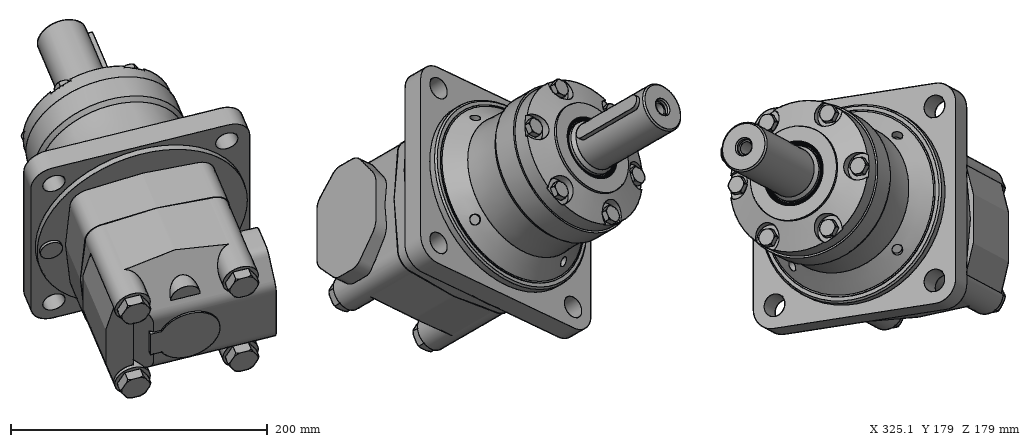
import cadquery as cq
import math


cover_face_x = 81.5
cover_cone_x = 83.5
cover_rim_x = 90.6
collar_x = 103.9
collar_chamfer_x = 124.6
neck_x = 128.4
flare_x = 160.0
pilot_x = 174.7
flange_x = 181.7
flange_back_x = 199.9
housing_back_x = 204.7
gear_back_x = 242.0
boss_back_x = 316.7
cover_back_x = 321.2
bolt_end_x = 325.1

shaft_dia = 40.0
shaft_shoulder_dia = 45.0
shaft_tip_chamfer = 1.3
shaft_neck_x = 78.4
shaft_end_x = 110.0
centre_mouth_dia = 14.8
centre_mouth_depth = 1.5
centre_bore_dia = 13.0
centre_bore_depth = 4.0
thread_hole_dia = 10.2
thread_hole_depth = 25.0
key_length = 70.0
key_width = 12.0
key_height = 8.0
key_top_y = 23.0
key_start_x = 5.0

cover_face_dia = 76.0
cover_rim_dia = 122.0
collar_dia = 125.2
neck_dia = 119.6
neck_waist_dia = 118.2
flare_top_dia = 148.0
pilot_dia = 160.0
pilot_chamfer = 1.5
flare_collar_dia = 150.6
flare_collar_width = 0.6
back_disc_dia = 172.0
seal_recess_dia = 52.0
seal_step_count = 4
seal_step_width = 0.8
seal_step_depth = 0.6
flange_side = 179.01
flange_corner_radius = 18.0
mount_hole_circle_dia = 200.0
mount_hole_dia = 18.2
flare_hole_dia = 8.38
flare_hole_circle_dia = 131.5
flare_hole_depth = 6.0
drain_plug_dia = 18.2
drain_plug_height = 2.4
drain_plug_y = -75.0

screw_count = 6
screw_circle_dia = 107.6
screw_flats = 13.0
screw_head_chamfer = 0.8
screw_head_x = 87.2
spotface_dia = 22.4
spotface_x = 92.3

bolt_offset = 44.2
bolt_flats = 22.0
bolt_dia = 14.0
bolt_head_chamfer = 1.2
bolt_start_x = 190.0

apex_offset = 62.6
apex_flat = 1.0
gear_apex_offset = 62.8
gear_corner_radius = 15.0
boss_radius = 14.5
boss_edge = 42.6
bevel_x = 287.2
bevel_edge_radius = 14.0
raised_disc_dia = 51.0
raised_back_x = 322.6
tab_x = 319.1
tab_width = 24.5
tab_y = -31.5
top_boss_dia = 24.12
top_boss_z = 36.3
pad_start_x = 255.8
pad_end_x = 313.9
pad_y = -65.2
pad_flat = 20.0
pad_edge = 44.5
pad_edge_y = -58.7
port_face_y = 72.0
port_start_x = 252.7
port_half_height = 50.5
port_slope_x = 274.9
port_slope_angle = 51.0
port_crest_radius = 12.0
port_nose_radius = 19.0


def cylinder_x(dia, start_x, end_x, y=0.0, z=0.0):
    """Cylinder along X between two stations."""
    return cq.Workplane("YZ", origin=(start_x, y, z)).circle(dia / 2).extrude(end_x - start_x)


def hexagon_head(flats, start_x, end_x, chamfer, chamfer_face, y, z):
    """Hexagon head along X with corners toward +Y and -Y, its outer end turned down."""
    corners = flats / math.cos(math.pi / 6)
    head = cq.Workplane("YZ", origin=(start_x, y, z)).polygon(6, corners).extrude(end_x - start_x)
    turned = cylinder_x(corners, start_x, end_x, y, z).faces(chamfer_face).chamfer(chamfer)
    return head.intersect(turned)


def corner_points(offset):
    """Four points (y, z) at the corners of a square centred on the axis."""
    return [(y, z) for y in (-offset, offset) for z in (-offset, offset)]


def ring_points(count, dia):
    """Points (y, z) evenly spaced on a circle about the axis, the first at +Y."""
    angles = [2 * math.pi * i / count for i in range(count)]
    return [(dia / 2 * math.cos(a), dia / 2 * math.sin(a)) for a in angles]


def quarter_turned(points, quarters):
    """Points (y, z) turned about the axis by a number of quarter turns."""
    for _ in range(quarters):
        points = [(-z, y) for y, z in points]
    return points


def make_shaft():
    """Shaft with a keyed end, a shoulder inside the housing and a threaded centre hole."""
    radius = shaft_dia / 2
    shoulder_radius = shaft_shoulder_dia / 2
    shaft = (
        cq.Workplane("XY")
        .moveTo(0, 0)
        .lineTo(0, radius - shaft_tip_chamfer)
        .lineTo(shaft_tip_chamfer, radius)
        .lineTo(shaft_neck_x, radius)
        .lineTo(cover_face_x, shoulder_radius)
        .lineTo(shaft_end_x, shoulder_radius)
        .lineTo(shaft_end_x, 0)
        .close()
        .revolve(360, (0, 0, 0), (1, 0, 0))
    )
    key = (
        cq.Workplane("XZ", origin=(key_start_x + key_length / 2, key_top_y, 0))
        .slot2D(key_length, key_width)
        .extrude(key_height)
    )
    hole_tip = thread_hole_dia / 2 * math.tan(math.radians(30))
    centre_hole = (
        cq.Workplane("XY")
        .moveTo(0, 0)
        .lineTo(0, centre_mouth_dia / 2)
        .lineTo(centre_mouth_depth, centre_bore_dia / 2)
        .lineTo(centre_bore_depth, centre_bore_dia / 2)
        .lineTo(centre_bore_depth, thread_hole_dia / 2)
        .lineTo(thread_hole_depth, thread_hole_dia / 2)
        .lineTo(thread_hole_depth + hole_tip, 0)
        .close()
        .revolve(360, (0, 0, 0), (1, 0, 0))
    )
    return shaft.union(key).cut(centre_hole)


def make_housing_body():
    """Turned housing: front cover, waisted neck, flare, pilot and back disc."""
    return (
        cq.Workplane("XY")
        .moveTo(cover_face_x, 0)
        .lineTo(cover_face_x, cover_face_dia / 2)
        .lineTo(cover_cone_x, cover_face_dia / 2)
        .lineTo(cover_rim_x, cover_rim_dia / 2)
        .lineTo(collar_x, cover_rim_dia / 2)
        .lineTo(collar_x, collar_dia / 2)
        .lineTo(collar_chamfer_x, collar_dia / 2)
        .lineTo(neck_x, neck_dia / 2)
        .threePointArc(((neck_x + flare_x) / 2, neck_waist_dia / 2), (flare_x, neck_dia / 2))
        .lineTo(pilot_x - flare_collar_width, flare_top_dia / 2)
        .lineTo(pilot_x - flare_collar_width, flare_collar_dia / 2)
        .lineTo(pilot_x, flare_collar_dia / 2)
        .lineTo(pilot_x, pilot_dia / 2 - pilot_chamfer)
        .lineTo(pilot_x + pilot_chamfer, pilot_dia / 2)
        .lineTo(flange_x, pilot_dia / 2)
        .lineTo(flange_x, back_disc_dia / 2)
        .lineTo(housing_back_x, back_disc_dia / 2)
        .lineTo(housing_back_x, 0)
        .close()
        .revolve(360, (0, 0, 0), (1, 0, 0))
    )


def make_flare_holes():
    """Four blind holes drilled square to the flare, between the axes."""
    flare_length = pilot_x - flare_collar_width - flare_x
    flare_rise = (flare_top_dia - neck_dia) / 2
    hole_radius = flare_hole_circle_dia / 2
    hole_x = flare_x + flare_length * (hole_radius - neck_dia / 2) / flare_rise
    inward = cq.Vector(flare_rise, -flare_length, 0).normalized()
    start = cq.Vector(hole_x, hole_radius, 0) - inward * flare_hole_dia
    hole = cq.Solid.makeCylinder(flare_hole_dia / 2, flare_hole_dia + flare_hole_depth, start, inward)
    return [hole.rotate((0, 0, 0), (1, 0, 0), angle) for angle in (45, 135, 225, 315)]


def make_housing(shaft, bolts):
    """Housing with its square flange, cover screws and drain plug, bored for the shaft and bolts."""
    flange = (
        cq.Workplane("YZ", origin=(flange_x, 0, 0))
        .rect(flange_side, flange_side)
        .extrude(flange_back_x - flange_x)
        .edges("|X")
        .fillet(flange_corner_radius)
    )
    housing = make_housing_body().union(flange)

    for y, z in corner_points(mount_hole_circle_dia / 2 * math.sqrt(0.5)):
        housing = housing.cut(cylinder_x(mount_hole_dia, flange_x, flange_back_x, y, z))

    for hole in make_flare_holes():
        housing = housing.cut(hole)

    for y, z in ring_points(screw_count, screw_circle_dia):
        housing = housing.cut(cylinder_x(spotface_dia, cover_face_x, spotface_x, y, z))
        screw = hexagon_head(screw_flats, screw_head_x, spotface_x, screw_head_chamfer, "<X", y, z)
        housing = housing.union(screw)

    for step in range(seal_step_count):
        dia = seal_recess_dia - 2 * step * seal_step_width
        depth = (step + 1) * seal_step_depth
        housing = housing.cut(cylinder_x(dia, cover_face_x, cover_face_x + depth))

    drain_plug = cylinder_x(
        drain_plug_dia, flange_back_x, housing_back_x + drain_plug_height, drain_plug_y
    )
    return housing.union(drain_plug).cut(shaft).cut(bolts)


def make_gear_set(bolts):
    """Plate whose slightly pitched sides run tangent into four round corners."""
    reach = gear_apex_offset - bolt_offset
    tilt = math.acos(gear_corner_radius / math.hypot(reach, bolt_offset)) - math.atan2(bolt_offset, reach)
    along = bolt_offset + gear_corner_radius * math.sin(tilt)
    out = bolt_offset + gear_corner_radius * math.cos(tilt)
    diagonal = bolt_offset + gear_corner_radius * math.sqrt(0.5)
    outline = cq.Workplane("YZ", origin=(housing_back_x, 0, 0)).moveTo(gear_apex_offset, 0)
    for quarter in range(4):
        points = quarter_turned(
            [(out, along), (diagonal, diagonal), (along, out), (0, gear_apex_offset)], quarter
        )
        outline = outline.lineTo(*points[0]).threePointArc(points[1], points[2]).lineTo(*points[3])
    return outline.close().extrude(gear_back_x - housing_back_x).cut(bolts)


def make_cover_core():
    """Prism with pitched sides; the +Z, -Z and -Y sides are bevelled at 45 degrees toward the rear."""
    corner = bolt_offset + math.sqrt(boss_radius**2 - (bolt_offset - boss_edge) ** 2)
    corners = [
        (apex_offset, -apex_flat / 2),
        (apex_offset, apex_flat / 2),
        (corner, boss_edge),
        (boss_edge, corner),
    ]
    outline = []
    for quarter in range(4):
        outline += quarter_turned(corners, quarter)
    prism = (
        cq.Workplane("YZ", origin=(gear_back_x, 0, 0))
        .polyline(outline)
        .close()
        .extrude(cover_back_x - gear_back_x)
    )
    rear_half = apex_offset - (cover_back_x - bevel_x)
    seen_along_y = (
        cq.Workplane("XZ")
        .moveTo(gear_back_x, -apex_offset)
        .lineTo(bevel_x, -apex_offset)
        .lineTo(cover_back_x, -rear_half)
        .lineTo(cover_back_x, rear_half)
        .lineTo(bevel_x, apex_offset)
        .lineTo(gear_back_x, apex_offset)
        .close()
        .extrude(apex_offset, both=True)
        .edges("|Y and >X")
        .fillet(bevel_edge_radius)
    )
    seen_along_z = (
        cq.Workplane("XY")
        .moveTo(gear_back_x, -apex_offset)
        .lineTo(bevel_x, -apex_offset)
        .lineTo(cover_back_x, -rear_half)
        .lineTo(cover_back_x, apex_offset)
        .lineTo(gear_back_x, apex_offset)
        .close()
        .extrude(apex_offset, both=True)
    )
    return prism.intersect(seen_along_y).intersect(seen_along_z)


def make_port_block():
    """Block on the +Y side: sloped front, rounded crest and the same rear bevel as the cover."""
    slope = math.tan(math.radians(port_slope_angle))
    bevel_crest_x = bevel_x + apex_offset - port_half_height
    rear_half = apex_offset - (cover_back_x - bevel_x)
    nose_half = port_half_height - slope * (port_slope_x - port_start_x)
    block = (
        cq.Workplane("XZ", origin=(0, port_face_y, 0))
        .moveTo(port_start_x, -nose_half)
        .lineTo(port_slope_x, -port_half_height)
        .lineTo(bevel_crest_x, -port_half_height)
        .lineTo(cover_back_x, -rear_half)
        .lineTo(cover_back_x, rear_half)
        .lineTo(bevel_crest_x, port_half_height)
        .lineTo(port_slope_x, port_half_height)
        .lineTo(port_start_x, nose_half)
        .close()
        .extrude(port_face_y - bolt_offset)
    )
    crests = cq.selectors.BoxSelector(
        (port_slope_x - 1, 0, -apex_offset), (bevel_crest_x + 1, port_face_y, apex_offset)
    )
    return (
        block.edges("|Y")
        .edges(crests)
        .fillet(port_crest_radius)
        .edges("|Y and <X")
        .fillet(port_nose_radius)
        .edges("|Y and >X")
        .fillet(bevel_edge_radius)
    )


def make_pad():
    """Pad on the -Y side, flat in the middle and falling away to both edges."""
    return (
        cq.Workplane("YZ", origin=(pad_start_x, 0, 0))
        .moveTo(-boss_edge, -pad_edge)
        .lineTo(pad_edge_y, -pad_edge)
        .lineTo(pad_y, -pad_flat)
        .lineTo(pad_y, pad_flat)
        .lineTo(pad_edge_y, pad_edge)
        .lineTo(-boss_edge, pad_edge)
        .close()
        .extrude(pad_end_x - pad_start_x)
    )


def make_end_cover(bolts):
    """End cover: bevelled core with bolt bosses, port block, pad and raised rear details."""
    cover = make_cover_core()
    for y, z in corner_points(bolt_offset):
        cover = cover.union(cylinder_x(2 * boss_radius, gear_back_x, boss_back_x, y, z))

    raised_disc = cylinder_x(raised_disc_dia, boss_back_x, raised_back_x)
    tab = cq.Workplane("XY").box(
        raised_back_x - tab_x, -tab_y, tab_width, centered=(False, False, True)
    )
    top_boss = cylinder_x(top_boss_dia, bevel_x, pad_end_x, 0, top_boss_z)
    return (
        cover.union(make_port_block())
        .union(make_pad())
        .union(raised_disc)
        .union(tab.translate((tab_x, tab_y, 0)))
        .union(top_boss)
        .cut(bolts)
    )


def make_bolt(y, z):
    """Hexagon bolt through the end cover and gear set into the housing."""
    shank = cylinder_x(bolt_dia, bolt_start_x, boss_back_x, y, z)
    head = hexagon_head(bolt_flats, boss_back_x, bolt_end_x, bolt_head_chamfer, ">X", y, z)
    return shank.union(head)


shaft = make_shaft()
bolts = [make_bolt(y, z) for y, z in corner_points(bolt_offset)]
bolt_group = cq.Workplane("XY").newObject([cq.Compound.makeCompound([bolt.val() for bolt in bolts])])
housing = make_housing(shaft, bolt_group)
gear_set = make_gear_set(bolt_group)
end_cover = make_end_cover(bolt_group)

result = cq.Compound.makeCompound(
    [shaft.val(), housing.val(), gear_set.val(), end_cover.val(), *[bolt.val() for bolt in bolts]]
)